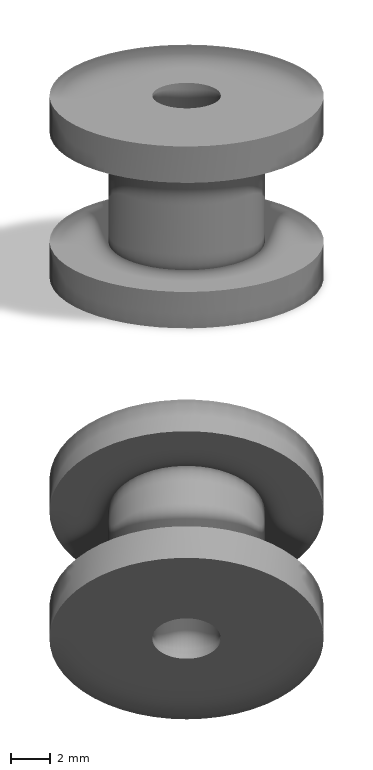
import cadquery as cq

flange_diameter = 14.0
hub_diameter = 8.0
bore_diameter = 3.5
total_height = 10.0
flange_thickness = total_height / 5
hub_length = total_height - 2 * flange_thickness

lower_flange = cq.Workplane("XY").circle(flange_diameter / 2).extrude(flange_thickness)
flanged_hub = lower_flange.faces(">Z").workplane().circle(hub_diameter / 2).extrude(hub_length)
spool = flanged_hub.faces(">Z").workplane().circle(flange_diameter / 2).extrude(flange_thickness)

result = spool.faces(">Z").workplane().hole(bore_diameter)